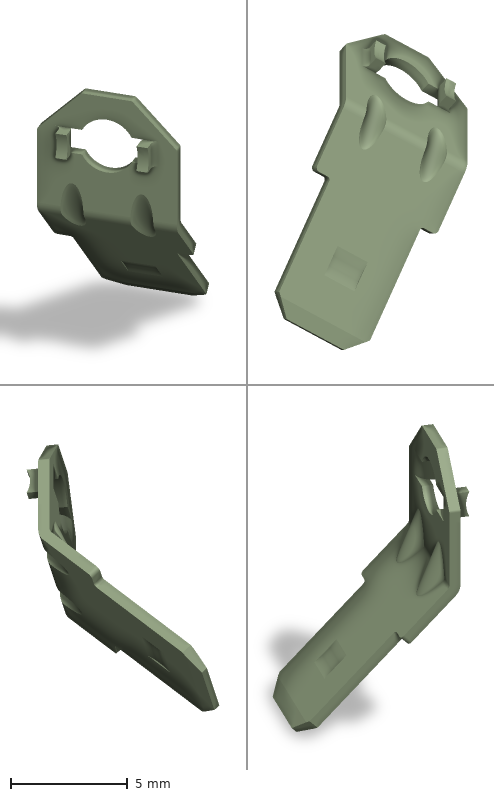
import cadquery as cq
import math

thickness = 0.5
plate_width = 6.35
plate_height = 5.9
plate_corner_chamfer = 2.03
plate_corner_radius = 0.15
bend_angle = 45.0
inner_bend_radius = 0.25
outer_bend_radius = inner_bend_radius + thickness

blade_width = 4.75
blade_length = 9.56
shoulder_distance = 3.26
shoulder_outer_radius = 0.2
shoulder_inner_radius = 0.15
tip_width = 3.0
tip_taper_length = 0.72
tip_taper_depth = 0.1

scoop_length = 1.39
scoop_width = 1.57
scoop_depth = 0.065
scoop_distance = 6.42

rib_spacing = plate_width / 2
rib_radius = 0.9
rib_ridge_height = 1.08
groove_radius = 0.52
groove_ridge_height = 0.57
rib_length = 6.0

hole_diameter = 2.54
hole_to_top = 2.35
hole_height = plate_height - hole_to_top
window_height = 1.18
tab_bend_spacing = 4.68
tab_reach = 0.7
tab_end_radius = hole_diameter / 2

cut_margin = 1.0

bend = math.radians(bend_angle)
half_bend = bend / 2
slope_y = math.sin(bend)
slope_z = -math.cos(bend)
slope_plane = cq.Plane(origin=(0, 0, 0), xDir=(1, 0, 0), normal=(0, math.cos(bend), math.sin(bend)))


def slope_point(distance, height):
    """(Y, Z) of a point on the blade: distance down the slope, height above its lower face."""
    return (distance * slope_y - height * slope_z, distance * slope_z + height * slope_y)


def bisector_point(height):
    """(Y, Z) of a point on the bisector of the bend, measured from the outer corner."""
    return (height * math.cos(half_bend), height * math.sin(half_bend))


def x_prism(sketch, width, center_x=0.0):
    """Extrude a YZ outline symmetrically along X about center_x."""
    return sketch.extrude(width / 2, both=True).translate((center_x, 0, 0))


def make_strip():
    inner_corner = bisector_point(thickness / math.cos(half_bend))
    taper_start = blade_length - tip_taper_length
    outline = [
        (0, 0),
        (0, plate_height),
        (thickness, plate_height),
        inner_corner,
        slope_point(taper_start, thickness),
        slope_point(blade_length, thickness - tip_taper_depth),
        slope_point(blade_length, tip_taper_depth),
        slope_point(taper_start, 0),
    ]
    strip = x_prism(cq.Workplane("YZ").polyline(outline).close(), plate_width)
    strip = strip.edges(cq.selectors.NearestToPointSelector((0, 0, 0))).fillet(outer_bend_radius)
    strip = strip.edges(cq.selectors.NearestToPointSelector((0, *inner_corner))).fillet(inner_bend_radius)
    return strip


def trim_plate_corners(body):
    body = body.edges("|Y and >Z").chamfer(plate_corner_chamfer)
    lowest_corner = plate_height - plate_corner_chamfer - cut_margin
    corners = cq.selectors.BoxSelector(
        (-plate_width, -cut_margin, lowest_corner),
        (plate_width, thickness + cut_margin, plate_height + cut_margin),
    )
    return body.edges("|Y").edges(corners).fillet(plate_corner_radius)


def trim_blade(body):
    tip_corner_distance = blade_length - (blade_width - tip_width) / 2
    outside = plate_width / 2 + cut_margin
    beyond_tip = blade_length + cut_margin
    waste = (
        cq.Workplane(slope_plane)
        .polyline([
            (outside, shoulder_distance),
            (blade_width / 2, shoulder_distance),
            (blade_width / 2, tip_corner_distance),
            (tip_width / 2, blade_length),
            (tip_width / 2, beyond_tip),
            (outside, beyond_tip),
        ])
        .close()
        .extrude(thickness + cut_margin, both=True)
    )
    body = body.cut(waste).cut(waste.mirror("YZ"))
    shoulder_y, shoulder_z = slope_point(shoulder_distance, thickness / 2)
    for side in (-1, 1):
        for half_width, radius in (
            (plate_width / 2, shoulder_outer_radius),
            (blade_width / 2, shoulder_inner_radius),
        ):
            corner = cq.selectors.NearestToPointSelector((side * half_width, shoulder_y, shoulder_z))
            body = body.edges(corner).fillet(radius)
    return body


def cut_scoops(body):
    """Sink a shallow cylinder along X into each face of the blade."""
    radius = ((scoop_length / 2) ** 2 + scoop_depth ** 2) / (2 * scoop_depth)
    axis_offset = radius - scoop_depth
    for height in (-axis_offset, thickness + axis_offset):
        axis_point = slope_point(scoop_distance, height)
        scoop = x_prism(cq.Workplane("YZ").center(*axis_point).circle(radius), scoop_width)
        body = body.cut(scoop)
    return body


def rib_cylinder(radius, ridge_height, center_x):
    """Cylinder equally inclined to plate and blade, its ridge at the given height above the bend."""
    axis_y, axis_z = bisector_point(ridge_height - radius)
    ridge_normal = (0, math.cos(half_bend), math.sin(half_bend))
    axis_direction = (0, math.sin(half_bend), -math.cos(half_bend))
    axis_plane = cq.Plane(origin=(center_x, axis_y, axis_z), xDir=ridge_normal, normal=axis_direction)
    return cq.Workplane(axis_plane).circle(radius).extrude(rib_length / 2, both=True)


def add_rib(body, center_x):
    """Raise a rounded rib inside the bend and press the matching groove into its outside."""
    mid_thickness = thickness / 2
    inside_bend = x_prism(
        cq.Workplane("YZ")
        .polyline([
            (mid_thickness, rib_length),
            bisector_point(mid_thickness / math.cos(half_bend)),
            slope_point(rib_length, mid_thickness),
        ])
        .close(),
        2 * rib_radius,
        center_x,
    )
    rib = rib_cylinder(rib_radius, rib_ridge_height, center_x).intersect(inside_bend)
    groove = rib_cylinder(groove_radius, groove_ridge_height, center_x)
    return body.union(rib).cut(groove)


def cut_hole_and_window(body):
    hole = cq.Workplane("XZ").center(0, hole_height).circle(hole_diameter / 2)
    window = cq.Workplane("XZ").center(0, hole_height).rect(tab_bend_spacing, window_height)
    return body.cut(hole.extrude(-thickness)).cut(window.extrude(-thickness))


def make_right_tab():
    """Tab curling out of the plate from the end of the window, with a hollow round end."""
    bend_x = tab_bend_spacing / 2
    bend_y = -inner_bend_radius
    diagonal = math.sqrt(0.5)
    outer_face_x = bend_x - inner_bend_radius
    inner_face_x = bend_x - outer_bend_radius
    tab = (
        cq.Workplane("XY")
        .moveTo(bend_x, thickness)
        .threePointArc(
            (bend_x - outer_bend_radius * diagonal, bend_y + outer_bend_radius * diagonal),
            (inner_face_x, bend_y),
        )
        .lineTo(inner_face_x, -tab_reach)
        .lineTo(outer_face_x, -tab_reach)
        .lineTo(outer_face_x, bend_y)
        .threePointArc(
            (bend_x - inner_bend_radius * diagonal, bend_y + inner_bend_radius * diagonal),
            (bend_x, 0),
        )
        .close()
        .extrude(window_height / 2, both=True)
        .translate((0, 0, hole_height))
    )
    end_axis_y = -tab_reach - math.sqrt(tab_end_radius ** 2 - (window_height / 2) ** 2)
    end_hollow = x_prism(cq.Workplane("YZ").center(end_axis_y, hole_height).circle(tab_end_radius), plate_width)
    return tab.cut(end_hollow)


result = make_strip()
result = trim_plate_corners(result)
result = trim_blade(result)
result = cut_scoops(result)
for rib_x in (-rib_spacing / 2, rib_spacing / 2):
    result = add_rib(result, rib_x)
right_tab = make_right_tab()
result = cut_hole_and_window(result)
result = result.union(right_tab).union(right_tab.mirror("YZ"))